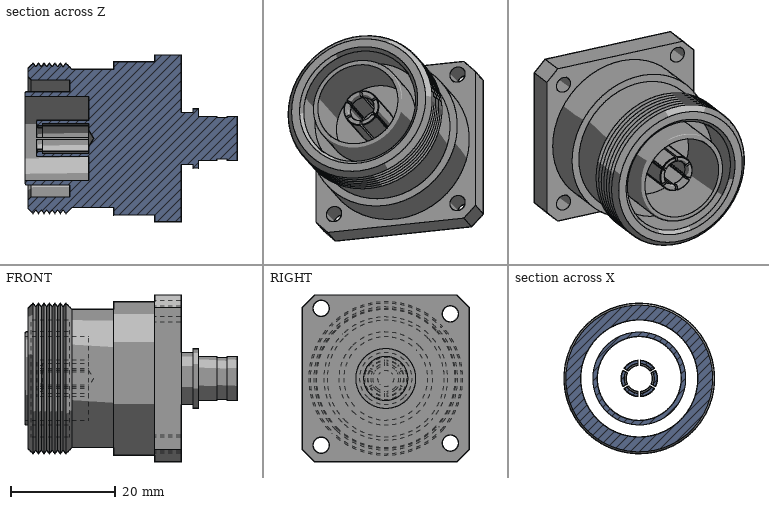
import cadquery as cq
import math

LENGTH = 40.7

FLANGE_SIDE = 32.0
FLANGE_FRONT = 24.83
FLANGE_BACK = 29.95
FLANGE_CORNER = 2.35
FLANGE_HOLE_DIAMETER = 3.05
FLANGE_HOLES = [(12.37, 12.37), (12.37, -12.37), (-12.37, 13.45), (-12.37, -12.8)]

SHELL_FRONT = 0.53
CREST_RADIUS = 14.45
CREST_COUNT = 7
THREAD_SPAN = 6.25
THREAD_PITCH = THREAD_SPAN / (CREST_COUNT - 1)
THREAD_DEPTH = 0.7
LEAD_IN = 1.0
NECK_RADIUS = 13.25
COLLAR_RADIUS = 14.75
COLLAR_FRONT = 16.97

CAVITY_RADIUS = 11.2
CAVITY_BEVEL = 0.65
CAVITY_FLOOR = 8.55

SLEEVE_RADIUS = 8.95
SLEEVE_BORE_RADIUS = 8.0
SLEEVE_FLOOR = 12.2
SLEEVE_EDGE = 0.25

CONTACT_TIP = 2.2
CONTACT_RADIUS = 3.5
CONTACT_EDGE = 0.12
CONTACT_BORE_RADIUS = 2.85
LIP_RADIUS = 2.5
LIP_LENGTH = 1.2
SLOT_COUNT = 6
SLOT_WIDTH = 0.4
DRILL_RADIUS = 1.55
DRILL_POINT_ANGLE = 118.0

SPIGOT_STEPS = [(5.0, 32.15), (5.75, 33.25), (4.25, 36.75), (4.03, 38.7), (4.25, LENGTH)]


def cylinder(radius, start, end):
    """Solid cylinder about the X axis between two X positions."""
    return cq.Workplane("YZ", origin=(start, 0, 0)).circle(radius).extrude(end - start)


def revolve_about_x(profile):
    """Turn a closed (X, radius) profile about the X axis."""
    return profile.close().revolve(360, (0, 0, 0), (1, 0, 0))


def make_shell():
    """Thread, neck and collar, up to the front face of the flange."""
    crest_x = SHELL_FRONT + LEAD_IN
    points = [(SHELL_FRONT, 0), (SHELL_FRONT, CREST_RADIUS - LEAD_IN), (crest_x, CREST_RADIUS)]
    for _ in range(CREST_COUNT - 1):
        points.append((crest_x + THREAD_PITCH / 2, CREST_RADIUS - THREAD_DEPTH))
        crest_x += THREAD_PITCH
        points.append((crest_x, CREST_RADIUS))
    points += [
        (crest_x + CREST_RADIUS - NECK_RADIUS, NECK_RADIUS),
        (COLLAR_FRONT, NECK_RADIUS),
        (COLLAR_FRONT, COLLAR_RADIUS),
        (FLANGE_FRONT, COLLAR_RADIUS),
        (FLANGE_FRONT, 0),
    ]
    return revolve_about_x(cq.Workplane("XY").polyline(points))


def make_cavity():
    """Round cavity with a bevelled mouth, open at the shell front."""
    return revolve_about_x(
        cq.Workplane("XY").polyline([
            (SHELL_FRONT, 0),
            (SHELL_FRONT, CAVITY_RADIUS + CAVITY_BEVEL),
            (SHELL_FRONT + CAVITY_BEVEL, CAVITY_RADIUS),
            (CAVITY_FLOOR, CAVITY_RADIUS),
            (CAVITY_FLOOR, 0),
        ])
    )


def make_sleeve():
    """Sleeve as a plain rod with a rounded front edge, before it is bored."""
    return cylinder(SLEEVE_RADIUS, 0, SLEEVE_FLOOR).faces("<X").edges().fillet(SLEEVE_EDGE)


def make_contact():
    """Tube with an inward lip at its mouth, split lengthwise by radial slots."""
    lip_round = CONTACT_BORE_RADIUS - LIP_RADIUS
    arc_offset = lip_round * (1 - math.sqrt(0.5))
    tube = revolve_about_x(
        cq.Workplane("XY")
        .moveTo(CONTACT_TIP, CONTACT_BORE_RADIUS)
        .lineTo(CONTACT_TIP, CONTACT_RADIUS - CONTACT_EDGE)
        .lineTo(CONTACT_TIP + CONTACT_EDGE, CONTACT_RADIUS)
        .lineTo(SLEEVE_FLOOR, CONTACT_RADIUS)
        .lineTo(SLEEVE_FLOOR, CONTACT_BORE_RADIUS)
        .lineTo(CONTACT_TIP + LIP_LENGTH, CONTACT_BORE_RADIUS)
        .lineTo(CONTACT_TIP + LIP_LENGTH, LIP_RADIUS)
        .lineTo(CONTACT_TIP + lip_round, LIP_RADIUS)
        .threePointArc(
            (CONTACT_TIP + arc_offset, LIP_RADIUS + arc_offset),
            (CONTACT_TIP, CONTACT_BORE_RADIUS),
        )
    )
    slot = cq.Workplane("XY").box(
        SLEEVE_FLOOR - CONTACT_TIP, SLOT_WIDTH, CONTACT_RADIUS, centered=(False, True, False)
    ).translate((CONTACT_TIP, 0, 0))
    for index in range(SLOT_COUNT):
        tube = tube.cut(slot.rotate((0, 0, 0), (1, 0, 0), index * 360 / SLOT_COUNT))
    return tube


def make_drill_point():
    """Conical drill point sunk into the sleeve floor on the axis."""
    depth = DRILL_RADIUS / math.tan(math.radians(DRILL_POINT_ANGLE / 2))
    return revolve_about_x(
        cq.Workplane("XY").polyline([
            (SLEEVE_FLOOR, 0),
            (SLEEVE_FLOOR, DRILL_RADIUS),
            (SLEEVE_FLOOR + depth, 0),
        ])
    )


def make_flange():
    """Square plate with bevelled corners and four through holes."""
    thickness = FLANGE_BACK - FLANGE_FRONT
    return (
        cq.Workplane("YZ", origin=(FLANGE_FRONT, 0, 0))
        .rect(FLANGE_SIDE, FLANGE_SIDE)
        .extrude(thickness)
        .edges("|X")
        .chamfer(FLANGE_CORNER)
        .faces("<X")
        .workplane(origin=(FLANGE_FRONT, 0, 0))
        .pushPoints([(-y, z) for y, z in FLANGE_HOLES])
        .hole(FLANGE_HOLE_DIAMETER)
    )


def make_spigot():
    """Stack of cylinders behind the flange."""
    spigot = cq.Workplane("YZ")
    start = FLANGE_BACK
    for radius, end in SPIGOT_STEPS:
        spigot = spigot.union(cylinder(radius, start, end))
        start = end
    return spigot


result = (
    make_shell()
    .union(make_flange())
    .union(make_spigot())
    .cut(make_cavity())
    .union(make_sleeve())
    .cut(cylinder(SLEEVE_BORE_RADIUS, 0, SLEEVE_FLOOR))
    .cut(make_drill_point())
    .union(make_contact())
)